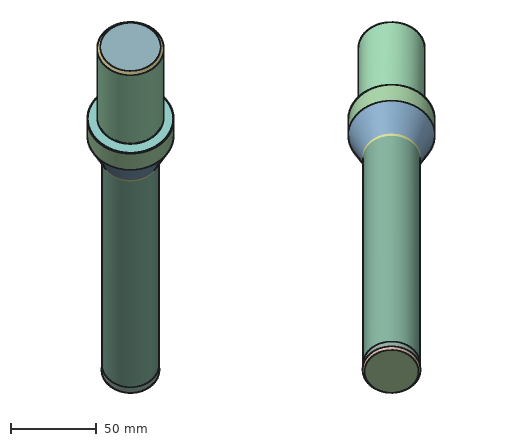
import cadquery as cq
import math

total_length = 315.0
tip_height = 7.0
neck_end_z = 206.5
flange_bottom_z = 229.3
flange_top_z = 245.5

neck_radius = 16.7
flange_diameter = 50.7
flange_radius = flange_diameter / 2
shank_radius = 19.5

tip_chamfer_width = 1.3
tip_chamfer_height = 2.0
tip_flare = 0.3
neck_fillet = 4.7
flange_chamfer = 0.47
relief_depth = 1.0
relief_height = 1.0
relief_chamfer_height = 0.5
shank_chamfer_width = 2.0
shank_chamfer_height = 1.5


def revolve_profile(profile):
    """Turn a closed (radius, z) outline around the Z axis."""
    return profile.close().revolve(360, (0, 0, 0), (0, 1, 0))


def make_holder():
    """Neck, conical collar and shank, turned as one body."""
    fillet_center_radius = neck_radius + neck_fillet
    run = flange_radius - fillet_center_radius
    rise = flange_bottom_z - neck_end_z
    center_distance = math.hypot(run, rise)
    to_collar = math.atan2(rise, run)
    tangent_angle = to_collar + math.acos(neck_fillet / center_distance)
    middle_angle = (tangent_angle + math.pi) / 2

    def fillet_point(angle):
        return (
            fillet_center_radius + neck_fillet * math.cos(angle),
            neck_end_z + neck_fillet * math.sin(angle),
        )

    relief_radius = shank_radius - relief_depth
    relief_top_z = flange_top_z + relief_height
    profile = (
        cq.Workplane("XZ")
        .moveTo(0, tip_height)
        .lineTo(neck_radius, tip_height)
        .lineTo(neck_radius, neck_end_z)
        .threePointArc(fillet_point(middle_angle), fillet_point(tangent_angle))
        .lineTo(flange_radius, flange_bottom_z)
        .lineTo(flange_radius, flange_top_z - flange_chamfer)
        .lineTo(flange_radius - flange_chamfer, flange_top_z)
        .lineTo(relief_radius, flange_top_z)
        .lineTo(relief_radius, relief_top_z)
        .lineTo(shank_radius, relief_top_z + relief_chamfer_height)
        .lineTo(shank_radius, total_length - shank_chamfer_height)
        .lineTo(shank_radius - shank_chamfer_width, total_length)
        .lineTo(0, total_length)
    )
    return revolve_profile(profile)


def make_tip():
    """Disc on the end of the neck, flaring slightly towards its chamfered end."""
    rim_radius = neck_radius + tip_flare
    profile = (
        cq.Workplane("XZ")
        .lineTo(rim_radius - tip_chamfer_width, 0)
        .lineTo(rim_radius, tip_chamfer_height)
        .lineTo(neck_radius, tip_height)
        .lineTo(0, tip_height)
    )
    return revolve_profile(profile)


holder = make_holder()
tip = make_tip()

result = cq.Compound.makeCompound([holder.val(), tip.val()])